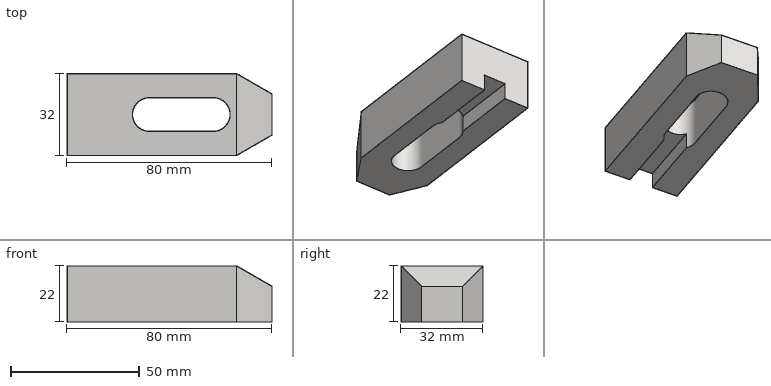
import cadquery as cq
import math

length = 80.0
width = 32.0
height = 22.0

nose_inset = 8.0
nose_angle = 30.0
nose_length = nose_inset / math.tan(math.radians(nose_angle))
nose_start = length - nose_length

slot_width = 13.0
slot_length = 38.0
slot_start = 25.5
slot_center = slot_start + slot_length / 2

groove_width = 10.0
groove_depth = 7.0


def tapered_body():
    """Block whose nose narrows in plan and slopes down on top."""
    plan = (
        cq.Workplane("XY")
        .moveTo(0, -width / 2)
        .lineTo(nose_start, -width / 2)
        .lineTo(length, -width / 2 + nose_inset)
        .lineTo(length, width / 2 - nose_inset)
        .lineTo(nose_start, width / 2)
        .lineTo(0, width / 2)
        .close()
        .extrude(height)
    )
    profile = (
        cq.Workplane("XZ")
        .lineTo(length, 0)
        .lineTo(length, height - nose_inset)
        .lineTo(nose_start, height)
        .lineTo(0, height)
        .close()
        .extrude(width / 2, both=True)
    )
    return plan.intersect(profile)


def stud_slot():
    return cq.Workplane("XY").center(slot_center, 0).slot2D(slot_length, slot_width).extrude(height)


def heel_groove():
    return cq.Workplane("XY").box(
        slot_center, groove_width, groove_depth, centered=(False, True, False)
    )


result = tapered_body().cut(stud_slot()).cut(heel_groove())